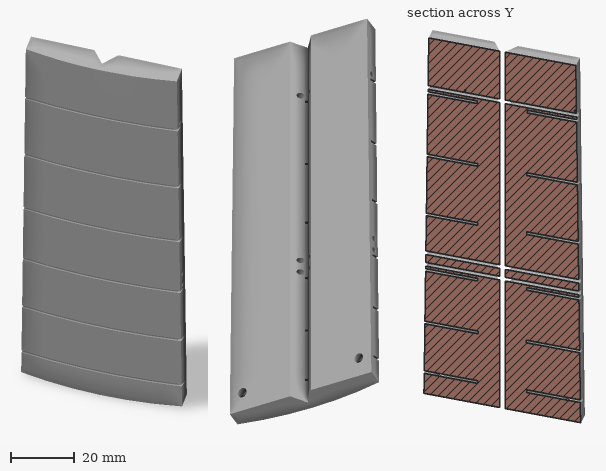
import cadquery as cq
import math

LENGTH = 125.85
THICKNESS = 6.3
WIDE_END_WIDTH = 53.82
NARROW_END_WIDTH = 50.47
FACE_RADIUS = 184.15
END_ANGLE = 22.5

SLOT_COUNT = 6
FIRST_SLOT_Z = 105.4
FIRST_SLOT_GAP = 21.62
GAP_RATIO = 2 ** (-1 / 12)
SLOT_HEIGHT = 0.76
SLOT_DEPTH = 2.95

GROOVE_DEPTH = 4.0
GROOVE_HALF_WIDTH = 4.0

PIN_HOLE_DIAMETER = 1.85
PIN_HOLE_DEPTH = 2.4
PIN_HOLE_HEIGHTS = (107.35, 50.1, 46.1)
SOCKET_DIAMETER = 3.2
SOCKET_DEPTH = 2.6
SOCKET_X = 22.1

SLOT_CUTTER_SPAN = 4 * THICKNESS

END_RISE = THICKNESS * math.tan(math.radians(END_ANGLE))


def slot_heights():
    """Z of the middle of each slot, from the narrow end to the wide end."""
    heights = []
    z = FIRST_SLOT_Z
    gap = FIRST_SLOT_GAP
    for _ in range(SLOT_COUNT):
        heights.append(z)
        z -= gap
        gap *= GAP_RATIO
    return heights


def crown_cylinder(radius, height):
    """Cylinder around the axis of the curved front face, standing on the wide end."""
    return cq.Workplane("XY").center(0, FACE_RADIUS - THICKNESS).circle(radius).extrude(height)


def tapered_board():
    """Slanted-end side profile, cut to the tapered plan and the curved front face."""
    side = (
        cq.Workplane("YZ")
        .polyline([(0, END_RISE), (-THICKNESS, 0), (-THICKNESS, LENGTH - END_RISE), (0, LENGTH)])
        .close()
        .extrude(WIDE_END_WIDTH / 2, both=True)
    )
    half_wide = WIDE_END_WIDTH / 2
    half_narrow = NARROW_END_WIDTH / 2
    plan = (
        cq.Workplane("XZ")
        .polyline([(-half_wide, 0), (half_wide, 0), (half_narrow, LENGTH), (-half_narrow, LENGTH)])
        .close()
        .extrude(THICKNESS)
    )
    crown = crown_cylinder(FACE_RADIUS, LENGTH)
    return side.intersect(plan).intersect(crown)


def back_groove():
    """V-shaped groove running the full length of the back."""
    return (
        cq.Workplane("XY")
        .polyline([(-GROOVE_HALF_WIDTH, 0), (GROOVE_HALF_WIDTH, 0), (0, -GROOVE_DEPTH)])
        .close()
        .extrude(LENGTH)
    )


def fret_slot(z):
    """Slot of even depth across the curved face, open at both sides of the board."""
    cutter = (
        cq.Workplane("XY")
        .rect(WIDE_END_WIDTH, SLOT_CUTTER_SPAN)
        .extrude(SLOT_HEIGHT)
        .cut(crown_cylinder(FACE_RADIUS - SLOT_DEPTH, SLOT_HEIGHT))
    )
    return cutter.translate((0, 0, z - SLOT_HEIGHT / 2))


def pin_hole(z):
    """Round hole crossing the board from side to side."""
    return (
        cq.Workplane("YZ")
        .center(-PIN_HOLE_DEPTH, z)
        .circle(PIN_HOLE_DIAMETER / 2)
        .extrude(WIDE_END_WIDTH / 2, both=True)
    )


def back_sockets(z):
    """Pair of blind round holes in the back that open into the slot at this height."""
    return (
        cq.Workplane("XZ")
        .pushPoints([(-SOCKET_X, z), (SOCKET_X, z)])
        .circle(SOCKET_DIAMETER / 2)
        .extrude(SOCKET_DEPTH)
    )


result = tapered_board().cut(back_groove())
slot_levels = slot_heights()
for slot_z in slot_levels:
    result = result.cut(fret_slot(slot_z))
for hole_z in PIN_HOLE_HEIGHTS:
    result = result.cut(pin_hole(hole_z))
result = result.cut(back_sockets(slot_levels[-1]))